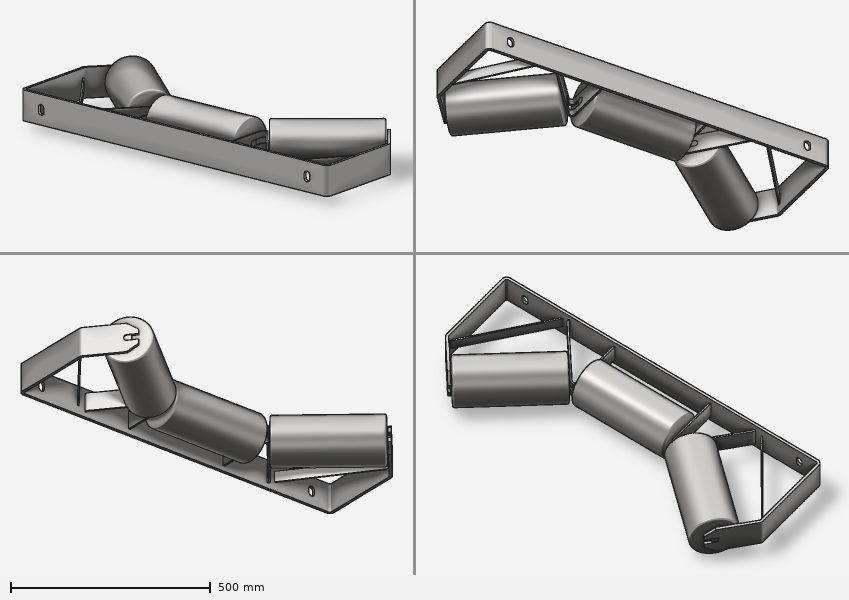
import cadquery as cq
import math

frame_length = 1000.0
frame_height = 81.0
wing_bend_y = 247.0
wing_tip_y = 360.0
wing_tip_chamfer_along = 30.0
wing_tip_chamfer_z = 20.0
mount_hole_x = 433.0
mount_hole_width = 18.0
mount_hole_height = 28.0

frame_plate = 8.0
bracket_plate = 5.0
strut_plate = 4.0
frame_bend_radius = 6.0
bracket_bend_radius = 7.0

roller_diameter = 133.0
roller_length = 292.0
roller_edge_radius = 6.0
trough_angle = 40.0
middle_roller_y = 125.0
side_roller_x = 304.0
side_roller_y = 236.0

slot_width = 16.0
axle_flat = 11.0
support_gap = 298.0
slot_depth = 60.0

bracket_height = 50.0
bracket_foot_x = 295.0
strut_height = 30.0
strut_top_y = 239.0
strut_foot_x = 313.0

tilt = math.radians(trough_angle)
axis_x, axis_y = math.cos(tilt), math.sin(tilt)
rise_x, rise_y = -axis_y, axis_x
half_frame = frame_length / 2
half_gap = support_gap / 2
support_reach = half_gap + bracket_plate


def roller_places():
    """Axis centre and tilt of each roller."""
    return [
        (-side_roller_x, side_roller_y, -trough_angle),
        (0, middle_roller_y, 0),
        (side_roller_x, side_roller_y, trough_angle),
    ]


def place(body, x, y, angle):
    """Turn a body built along X about Z and move it to its centre."""
    return body.rotate((0, 0, 0), (0, 0, 1), angle).translate((x, y, 0))


def mirror_x(points):
    return [(-x, y) for x, y in points]


def upright(outline, height):
    """Prism of an XY outline, centred on Z = 0."""
    return cq.Workplane("XY").polyline(outline).close().extrude(height / 2, both=True)


def left_offset(points, distance):
    """Mitred copy of an open path, moved to its left; the ends move square to the path."""
    normals = []
    for (x0, y0), (x1, y1) in zip(points, points[1:]):
        length = math.dist((x0, y0), (x1, y1))
        normals.append(((y0 - y1) / length, (x1 - x0) / length))
    before = [normals[0]] + normals
    after = normals + [normals[-1]]
    moved = []
    for (x, y), (ax, ay), (bx, by) in zip(points, before, after):
        mitre = distance / (1 + ax * bx + ay * by)
        moved.append((x + mitre * (ax + bx), y + mitre * (ay + by)))
    return moved


def folded_strip(outer, plate, bend_radius, height):
    """Bar of the given thickness to the left of an outer path, with a rounded fold at each corner."""
    inner = left_offset(outer, plate)
    strip = upright(outer + inner[::-1], height)
    for path, radius in ((outer, bend_radius + plate), (inner, bend_radius)):
        for x, y in path[1:-1]:
            strip = strip.edges(cq.selectors.NearestToPointSelector((x, y, 0))).fillet(radius)
    return strip


def slot_profile(top):
    """Profile across a roller axis: half round below, open square end at the given height above."""
    half = slot_width / 2
    return (
        cq.Workplane("YZ")
        .moveTo(top, -half)
        .lineTo(0, -half)
        .threePointArc((-half, 0), (0, half))
        .lineTo(top, half)
        .close()
    )


def make_roller():
    drum = (
        cq.Workplane("YZ", origin=(-roller_length / 2, 0, 0))
        .circle(roller_diameter / 2)
        .extrude(roller_length)
        .edges()
        .fillet(roller_edge_radius)
    )
    axle = slot_profile(axle_flat).extrude(support_reach, both=True)
    return drum.union(axle)


def cut_axle_slots(body):
    """Open slots for the axle ends, reaching through the round folds of the brackets."""
    slot = slot_profile(slot_depth).extrude(support_reach + bracket_bend_radius, both=True)
    for x, y, angle in roller_places():
        body = body.cut(place(slot, x, y, angle))
    return body


def make_frame():
    wing_length = (wing_tip_y - wing_bend_y) / rise_y
    tip = (half_frame + wing_length * rise_x, wing_tip_y)
    right = [(half_frame, 0), (half_frame, wing_bend_y), tip]
    frame = folded_strip(mirror_x(right)[::-1] + right, frame_plate, frame_bend_radius, frame_height)

    hole = (
        cq.Workplane("XZ")
        .pushPoints([(-mount_hole_x, 0), (mount_hole_x, 0)])
        .slot2D(mount_hole_height, mount_hole_width, 90)
        .extrude(-frame_plate)
    )
    frame = frame.cut(hole)

    half = frame_height / 2
    corner = (
        cq.Workplane("YZ")
        .polyline([(0, half), (-wing_tip_chamfer_along, half), (0, half - wing_tip_chamfer_z)])
        .close()
        .extrude(frame_plate * 2, both=True)
    )
    corners = corner.union(corner.mirror("XY"))
    for side in (-1, 1):
        frame = frame.cut(place(corners, side * tip[0], tip[1], side * trough_angle))
    return cut_axle_slots(frame)


def make_bracket(side):
    """Folded support between the middle roller and a side roller (side -1 left, +1 right)."""
    face_x = side_roller_x - half_gap * axis_x
    face_y = side_roller_y - half_gap * axis_y

    def slope_point(x):
        return (x, face_y + (x - face_x) * rise_y / rise_x)

    slope_foot = (bracket_foot_x, frame_plate)
    ankle = slope_point(bracket_foot_x)
    crown = slope_point(half_gap)
    leg_foot = (half_gap, frame_plate)
    path = [slope_foot, ankle, crown, leg_foot]
    bracket = folded_strip(path, bracket_plate, bracket_bend_radius, bracket_height)
    bracket = cut_axle_slots(bracket)
    return bracket if side > 0 else bracket.mirror("YZ")


def make_strut(side):
    """Diagonal bar from the side wall to the base (side -1 left, +1 right)."""
    wall_x = half_frame - frame_plate
    foot = (strut_foot_x, frame_plate)
    top = (wall_x, strut_top_y)
    slope = math.atan2(top[1] - foot[1], top[0] - foot[0])
    lower_foot = (foot[0] + strut_plate / math.sin(slope), frame_plate)
    lower_top = (wall_x, strut_top_y - strut_plate / math.cos(slope))
    strut = upright([foot, lower_foot, lower_top, top], strut_height)
    return strut if side > 0 else strut.mirror("YZ")


frame = make_frame()
rollers = [place(make_roller(), x, y, angle).val() for x, y, angle in roller_places()]
brackets = [make_bracket(side).val() for side in (-1, 1)]
struts = [make_strut(side).val() for side in (-1, 1)]

result = cq.Compound.makeCompound([frame.val(), *rollers, *brackets, *struts])